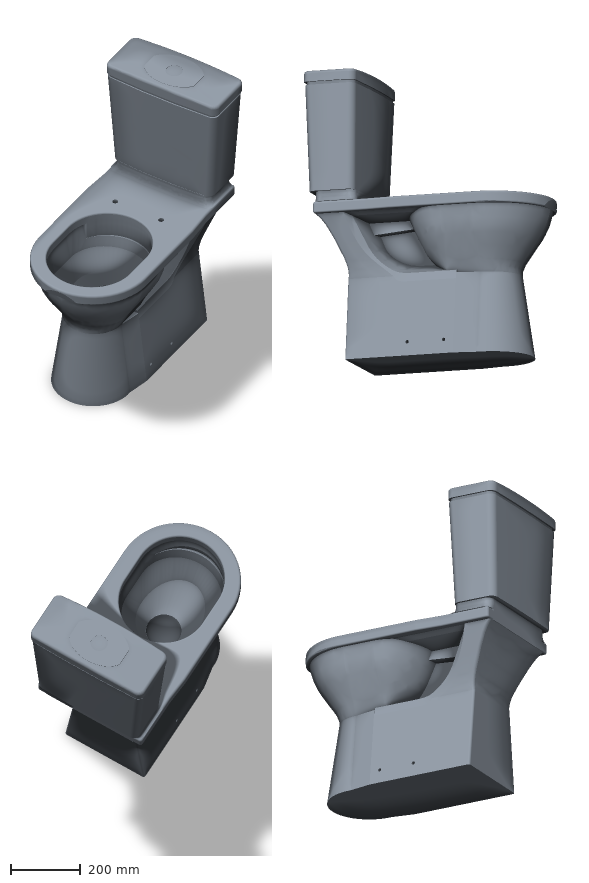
import cadquery as cq
import math


pedestal_back = 113.0
pedestal_side_end = 442.0
foot_half_width = 134.0
foot_front = 640.0
waist_height = 240.0
waist_half_width = 106.0
waist_front = 603.0
nose_start = 511.0
foot_nose_half_width = 121.0
waist_nose_half_width = 91.5
pedestal_corner = 7.0

back_sections = [
    (waist_height, pedestal_back, waist_half_width),
    (285.5, 108.5, 112.0),
    (332.0, 90.0, 125.0),
    (379.5, 67.0, 141.0),
    (428.0, 30.0, 157.0),
]
back_block_front = pedestal_side_end

web_half_thickness = 17.0
recess_front = pedestal_side_end
web_curve = [(169.5, 404.0), (185.5, 368.0), (203.0, 329.5), (246.0, 296.5), (322.0, 282.0)]
shoulder_curve = [(134.0, 420.0), (167.0, 351.0), (200.0, 296.5), (246.5, 259.0), (305.0, 247.0)]
skirt_curve = [(116.0, 428.0), (135.0, 357.0), (169.5, 281.0), (230.5, 233.0), (292.0, 222.0)]
shoulder_half_width = 102.0
shoulder_lean = 0.15
skirt_lean = 0.23
cutter_overrun = 0.5

channel_back = 161.0
channel_front = 339.0
channel_half_width = 51.0
channel_bottom_back = 373.0
channel_bottom_front = 388.0

bowl_side_back = 412.5
bowl_side_front = nose_start
bowl_sections = [
    (waist_height, waist_nose_half_width, 403.0, waist_front),
    (259.0, 100.0, 374.5, 604.0),
    (285.5, 113.0, 344.0, 617.0),
    (337.0, 142.0, 310.0, 653.0),
    (390.0, 160.0, 285.0, 682.0),
    (427.0, 168.0, 271.0, 692.0),
]

deck_top = 460.0
deck_bottom = 427.0
deck_half_width = 180.5
deck_front = 701.5
deck_back = 29.0
deck_back_half_width = 174.5
deck_taper_start = 186.0
deck_taper_end = 264.0
deck_corner = 8.0
deck_edge_radius = 7.0
deck_underside_radius = 4.0
deck_chin = 692.0

opening_radius = 130.5
opening_rear_center = 442.0
opening_front_center = 527.0
rim_edge_radius = 4.0
rim_bottom = 432.0
undercut = 13.0
lip_bottom = 378.0
lip_end = 377.0
basin_rings = [
    (346.0, 125.0, 327.0, 640.0, opening_rear_center, opening_front_center),
    (288.0, 92.0, 367.0, 597.0, 465.0, 473.5),
]
trap_radius = 51.0
trap_center = 440.5
trap_top = 254.0
trap_half_straight = 4.0

seat_hole_radius = 8.5
seat_hole_half_spacing = 78.0
seat_hole_forward = 276.0
seat_hole_depth = 30.0
fixing_hole_radius = 5.0
fixing_hole_height = 41.0
fixing_hole_forwards = (301.0, 412.0)
fixing_hole_depth = 25.0

cistern_bottom = 492.0
neck_half_width = 160.0
neck_front = 156.0
neck_flare = 13.5
neck_flare_height = 24.5
neck_flare_steps = 3

total_height = 847.0
tank_top = 800.0
tank_bottom_half_width = 168.0
tank_bottom_back = 9.0
tank_bottom_front = 155.0
tank_top_half_width = 187.0
tank_top_back = 2.5
tank_top_front = 164.0
lid_half_width = 190.0
lid_back = 0.0
lid_front = 165.0
lid_bottom = 809.0
lid_edge_radius = 8.5
lid_crown = 6.0
shadow_gap = 3.0
back_bow = 3.0
front_bow = 7.0
cistern_corner = 21.0
pad_half_width = 85.0
pad_half_depth = 64.0
pad_ellipse_half_width = 93.0
pad_step = 1.0
pad_forward = 83.0
button_radius = 24.5


def point(x, forward, height):
    return cq.Vector(x, -forward, height)


def line(start, end):
    return cq.Edge.makeLine(start, end)


def quarter_ellipse(center, half_width, reach, quadrant_start):
    """Quarter of an ellipse in a level plane; reach is its half length along Y."""
    long_in_y = reach > half_width
    major = max(half_width, reach)
    minor = min(half_width, reach)
    x_direction = cq.Vector(0, 1, 0) if long_in_y else cq.Vector(1, 0, 0)
    turn = 90 if long_in_y else 0
    start = (quadrant_start - turn) % 360
    return cq.Edge.makeEllipse(
        major, minor, center, cq.Vector(0, 0, 1), x_direction, start, start + 90
    )


def oval(height, half_width, back, front, side_back, side_front):
    """Level closed outline: straight sides, elliptical back and front."""
    rear = point(0, side_back, height)
    fore = point(0, side_front, height)
    rear_reach = side_back - back
    front_reach = front - side_front
    edges = [
        quarter_ellipse(rear, half_width, rear_reach, 0),
        quarter_ellipse(rear, half_width, rear_reach, 90),
        line(point(-half_width, side_back, height), point(-half_width, side_front, height)),
        quarter_ellipse(fore, half_width, front_reach, 180),
        quarter_ellipse(fore, half_width, front_reach, 270),
        line(point(half_width, side_front, height), point(half_width, side_back, height)),
    ]
    return cq.Wire.assembleEdges(edges)


def loft(wires, ruled=False):
    return cq.Workplane(cq.Solid.makeLoft(wires, ruled))


def skirt_half_width_at(height):
    """Half width of the straight pedestal sides, which lean inward up to the waist."""
    return foot_half_width - (foot_half_width - waist_half_width) * height / waist_height


def round_back_corners(wire, back):
    corners = [vertex for vertex in wire.Vertices() if abs(vertex.Y + back) < pedestal_corner]
    return wire.fillet2D(pedestal_corner, corners)


def pedestal_outline(height, half_width, nose_half_width, front):
    """Square back, straight sides, tapering cheeks and a round nose."""
    left_back = point(-half_width, pedestal_back, height)
    left_side = point(-half_width, pedestal_side_end, height)
    left_nose = point(-nose_half_width, nose_start, height)
    right_nose = point(nose_half_width, nose_start, height)
    right_side = point(half_width, pedestal_side_end, height)
    right_back = point(half_width, pedestal_back, height)
    edges = [
        line(left_back, left_side),
        line(left_side, left_nose),
        cq.Edge.makeThreePointArc(left_nose, point(0, front, height), right_nose),
        line(right_nose, right_side),
        line(right_side, right_back),
        line(right_back, left_back),
    ]
    return round_back_corners(cq.Wire.assembleEdges(edges), pedestal_back)


def make_pedestal():
    foot = pedestal_outline(0, foot_half_width, foot_nose_half_width, foot_front)
    waist = pedestal_outline(waist_height, waist_half_width, waist_nose_half_width, waist_front)
    return loft([foot, waist], ruled=True)


def make_flared_back():
    def outline(height, back, half_width):
        corners = [
            point(-half_width, back, height),
            point(-half_width, back_block_front, height),
            point(half_width, back_block_front, height),
            point(half_width, back, height),
        ]
        return round_back_corners(cq.Wire.makePolygon(corners, close=True), back)

    return loft([outline(*section) for section in back_sections])


def recess_outline(curve, side, half_width, lean):
    """Closed outline of a recess in a plane that leans outward with height."""
    foot_height = curve[-1][1]
    top_height = curve[0][1]

    def place(forward, height):
        return point(side * (half_width + lean * (height - foot_height)), forward, height)

    points = [place(*spot) for spot in curve]
    front_bottom = place(recess_front, foot_height)
    front_top = place(recess_front, top_height)
    forward_direction = cq.Vector(0, -1, 0)
    edges = [
        cq.Edge.makeSpline(points, tangents=[points[1] - points[0], forward_direction]),
        line(points[-1], front_bottom),
        line(front_bottom, front_top),
        line(front_top, points[0]),
    ]
    return cq.Wire.assembleEdges(edges)


def make_recess(side):
    """Cutter whose gently rising floor turns down at a shoulder to meet the skirt."""
    skirt_foot = skirt_curve[-1][1]
    skirt_half_width = skirt_half_width_at(skirt_foot)
    outer_half_width = skirt_half_width + cutter_overrun * (skirt_half_width - shoulder_half_width)
    outer_curve = [
        tuple(edge + cutter_overrun * (edge - inner) for edge, inner in zip(skirt_spot, shoulder_spot))
        for skirt_spot, shoulder_spot in zip(skirt_curve, shoulder_curve)
    ]
    outlines = [
        recess_outline(web_curve, side, web_half_thickness, 0),
        recess_outline(shoulder_curve, side, shoulder_half_width, shoulder_lean),
        recess_outline(skirt_curve, side, skirt_half_width, skirt_lean),
        recess_outline(outer_curve, side, outer_half_width, skirt_lean),
    ]
    return loft(outlines, ruled=True)


def make_bowl_outside():
    return loft(
        [oval(*section, bowl_side_back, bowl_side_front) for section in bowl_sections]
    )


def make_channel():
    profile = [
        (-channel_back, channel_bottom_back),
        (-channel_front, channel_bottom_front),
        (-channel_front, deck_bottom),
        (-channel_back, deck_bottom),
    ]
    return cq.Workplane("YZ").polyline(profile).close().extrude(channel_half_width, both=True)


def make_deck():
    nose_center = deck_front - deck_half_width
    deck = (
        cq.Workplane("XY", origin=(0, 0, deck_bottom))
        .moveTo(-deck_back_half_width, -deck_back)
        .lineTo(-deck_back_half_width, -deck_taper_start)
        .lineTo(-deck_half_width, -deck_taper_end)
        .lineTo(-deck_half_width, -nose_center)
        .threePointArc((0, -deck_front), (deck_half_width, -nose_center))
        .lineTo(deck_half_width, -deck_taper_end)
        .lineTo(deck_back_half_width, -deck_taper_start)
        .lineTo(deck_back_half_width, -deck_back)
        .close()
        .extrude(deck_top - deck_bottom)
        .edges("|Z and >Y")
        .fillet(deck_corner)
    )
    chin = (
        cq.Workplane("YZ")
        .polyline([
            (-deck_chin, deck_bottom),
            (-deck_front, deck_top - deck_edge_radius),
            (-deck_front, deck_bottom),
        ])
        .close()
        .extrude(deck_half_width, both=True)
    )
    deck = deck.faces(">Z").edges().fillet(deck_edge_radius)
    deck = deck.faces("<Z").edges().fillet(deck_underside_radius)
    return deck.cut(chin)


def bowed_outline(height, half_width, back, front, rear_bow):
    """Rounded rectangle whose front, and back if rear_bow is not zero, bow outward."""
    left_back = point(-half_width, back + rear_bow, height)
    left_front = point(-half_width, front - front_bow, height)
    right_front = point(half_width, front - front_bow, height)
    right_back = point(half_width, back + rear_bow, height)
    if rear_bow > 0:
        back_edge = cq.Edge.makeThreePointArc(right_back, point(0, back, height), left_back)
    else:
        back_edge = line(right_back, left_back)
    edges = [
        line(left_back, left_front),
        cq.Edge.makeThreePointArc(left_front, point(0, front, height), right_front),
        line(right_front, right_back),
        back_edge,
    ]
    wire = cq.Wire.assembleEdges(edges)
    return wire.fillet2D(cistern_corner, wire.Vertices())


def make_neck():
    """Neck whose foot spreads in a concave quarter ellipse; its back stays flush with the deck."""
    sections = []
    for step in range(neck_flare_steps + 1):
        angle = math.radians(90 * step / neck_flare_steps)
        spread = neck_flare * (1 - math.sin(angle))
        height = deck_top + neck_flare_height * (1 - math.cos(angle))
        sections.append(
            bowed_outline(height, neck_half_width + spread, deck_back, neck_front + spread, 0.0)
        )
    flare_top = deck_top + neck_flare_height
    collar = [
        bowed_outline(height, neck_half_width, deck_back, neck_front, 0.0)
        for height in (flare_top, cistern_bottom)
    ]
    root = [
        bowed_outline(height, neck_half_width, deck_back, neck_front, 0.0)
        for height in (deck_bottom, deck_top)
    ]
    return loft(sections).union(loft(collar, ruled=True)).union(loft(root, ruled=True))


def opening_outline(height, offset):
    return oval(
        height,
        opening_radius + offset,
        opening_rear_center - opening_radius - offset,
        opening_front_center + opening_radius + offset,
        opening_rear_center,
        opening_front_center,
    )


def make_basin():
    """Everything cut away inside the bowl, with the rear rim lip left standing."""
    rim_hole = loft([opening_outline(lip_bottom, 0), opening_outline(deck_top, 0)], ruled=True)
    wall = loft(
        [
            opening_outline(rim_bottom, undercut),
            oval(*basin_rings[0]),
        ],
        ruled=True,
    )
    lip_depth = rim_bottom - lip_bottom
    lip_zone = cq.Workplane("XY", origin=(0, -lip_end, lip_bottom)).rect(
        2 * deck_half_width, 2 * lip_end, centered=(True, False)
    ).extrude(lip_depth)
    lip = lip_zone.cut(rim_hole)

    trap_ring = oval(
        trap_top, trap_radius, trap_center - trap_radius, trap_center + trap_radius,
        trap_center - trap_half_straight, trap_center + trap_half_straight,
    )
    rings = [oval(*ring) for ring in basin_rings]
    funnel = loft([*rings, trap_ring], ruled=True)
    trap = cq.Workplane("XY").sphere(trap_radius).translate((0, -trap_center, trap_top))
    return wall.cut(lip).union(rim_hole).union(funnel).union(trap)


def make_seat_holes():
    places = [(side * seat_hole_half_spacing, -seat_hole_forward) for side in (-1, 1)]
    return (
        cq.Workplane("XY", origin=(0, 0, deck_top - seat_hole_depth))
        .pushPoints(places)
        .circle(seat_hole_radius)
        .extrude(seat_hole_depth)
    )


def make_fixing_holes(side):
    start = side * (skirt_half_width_at(fixing_hole_height) - fixing_hole_depth)
    places = [(-forward, fixing_hole_height) for forward in fixing_hole_forwards]
    return (
        cq.Workplane("YZ", origin=(start, 0, 0))
        .pushPoints(places)
        .circle(fixing_hole_radius)
        .extrude(side * foot_half_width)
    )


def round_rim(pan):
    opening_back = opening_rear_center - opening_radius
    opening_front = opening_front_center + opening_radius
    margin = rim_edge_radius
    rim = cq.selectors.BoxSelector(
        (-opening_radius - margin, -opening_front - margin, deck_top - margin),
        (opening_radius + margin, -opening_back + margin, deck_top + margin),
        boundingbox=True,
    )
    return pan.edges(rim).fillet(rim_edge_radius)


def make_pan():
    pan = make_pedestal().union(make_flared_back())
    for side in (-1, 1):
        pan = pan.cut(make_recess(side))
    pan = pan.union(make_channel()).union(make_bowl_outside()).union(make_deck()).union(make_neck())
    pan = pan.cut(make_basin()).cut(make_seat_holes())
    for side in (-1, 1):
        pan = pan.cut(make_fixing_holes(side))
    return round_rim(pan)


def cistern_outline(height, half_width, back, front):
    return bowed_outline(height, half_width, back, front, back_bow)


def cistern_slab(bottom, top, half_width, back, front):
    return loft(
        [cistern_outline(height, half_width, back, front) for height in (bottom, top)], ruled=True
    )


def make_lid():
    crown_top = total_height - pad_step
    crown = (
        cq.Workplane("XZ")
        .moveTo(-lid_half_width, lid_bottom)
        .lineTo(-lid_half_width, crown_top - lid_crown)
        .threePointArc((0, crown_top), (lid_half_width, crown_top - lid_crown))
        .lineTo(lid_half_width, lid_bottom)
        .close()
        .extrude(lid_front)
    )
    slab = cistern_slab(lid_bottom, total_height, lid_half_width, lid_back, lid_front)
    lid = slab.intersect(crown).faces(">Z").edges().fillet(lid_edge_radius)
    pad_bottom = crown_top - lid_crown
    pad_limits = cq.Workplane("XY", origin=(0, -pad_forward, pad_bottom)).box(
        2 * pad_half_width, 2 * pad_half_depth, total_height - pad_bottom, (True, True, False)
    )
    pad = (
        cq.Workplane("XY", origin=(0, -pad_forward, pad_bottom))
        .ellipse(pad_ellipse_half_width, pad_half_depth)
        .extrude(total_height - pad_bottom)
        .intersect(pad_limits)
    )
    button_recess = (
        cq.Workplane("XY", origin=(0, -pad_forward, total_height - pad_step))
        .circle(button_radius)
        .extrude(pad_step)
    )
    return lid.union(pad).cut(button_recess)


def make_cistern():
    tank = loft(
        [
            cistern_outline(
                cistern_bottom, tank_bottom_half_width, tank_bottom_back, tank_bottom_front
            ),
            cistern_outline(tank_top, tank_top_half_width, tank_top_back, tank_top_front),
        ],
        ruled=True,
    )
    groove_core = cistern_slab(
        tank_top,
        lid_bottom,
        tank_top_half_width - shadow_gap,
        tank_top_back + shadow_gap,
        tank_top_front - shadow_gap,
    )
    return tank.union(groove_core).union(make_lid())


pan = make_pan()
cistern = make_cistern()
result = cq.Compound.makeCompound([pan.val(), cistern.val()])